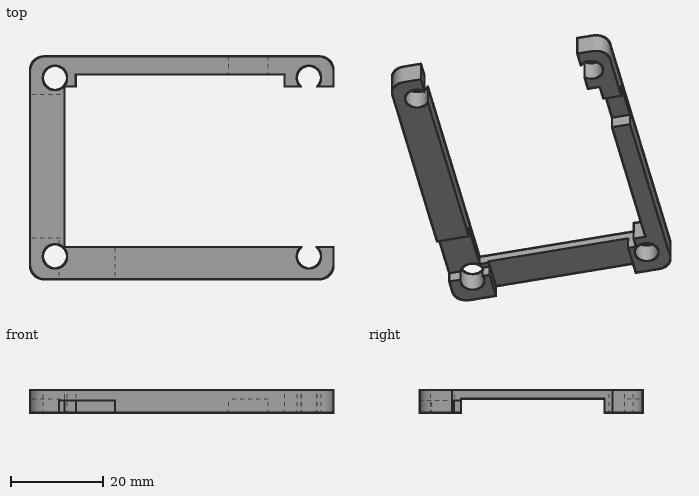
import cadquery as cq

LENGTH = 65.81
WIDTH = 48.34
HEIGHT = 5.0
CORNER_RADIUS = 3.175

LEFT_BAR = 7.55
FRONT_RAIL = 7.05
REAR_RAIL = 4.0
REAR_TAB = 6.6

REAR_LEFT_TAB_END = 9.95
REAR_RIGHT_TAB_START = 55.15

HOLE_DIAMETER = 5.2
HOLE_X = (5.45, 60.45)
HOLE_Y = (5.0, 43.65)

FRONT_NOTCH_X = (6.35, 18.45)
FRONT_NOTCH_HEIGHT = 2.65
LEFT_NOTCH_Y = (9.0, 40.0)
LEFT_NOTCH_HEIGHT = 3.05
REAR_NOTCH_X = (43.0, 51.6)
REAR_NOTCH_HEIGHT = 3.05


def box_between(x_range, y_range, height):
    """Box over the given X and Y ranges, rising from the underside."""
    x_min, x_max = x_range
    y_min, y_max = y_range
    box = cq.Workplane("XY").box(x_max - x_min, y_max - y_min, height, centered=False)
    return box.translate((x_min, y_min, 0))


def rounded_block():
    block = box_between((0, LENGTH), (0, WIDTH), HEIGHT)
    return block.edges("|Z").fillet(CORNER_RADIUS)


def inner_opening():
    """Main opening, plus the deeper recess between the two rear tabs."""
    main = box_between((LEFT_BAR, LENGTH), (FRONT_RAIL, WIDTH - REAR_TAB), HEIGHT)
    recess = box_between(
        (REAR_LEFT_TAB_END, REAR_RIGHT_TAB_START),
        (FRONT_RAIL, WIDTH - REAR_RAIL),
        HEIGHT,
    )
    return main.union(recess)


def screw_holes():
    centers = [(x, y) for x in HOLE_X for y in HOLE_Y]
    return cq.Workplane("XY").pushPoints(centers).circle(HOLE_DIAMETER / 2).extrude(HEIGHT)


def underside_notches():
    """One notch across each of the three bars; the front one runs into the left one."""
    front = box_between(FRONT_NOTCH_X, (0, LEFT_NOTCH_Y[0]), FRONT_NOTCH_HEIGHT)
    left = box_between((0, LEFT_BAR), LEFT_NOTCH_Y, LEFT_NOTCH_HEIGHT)
    rear = box_between(REAR_NOTCH_X, (WIDTH - REAR_RAIL, WIDTH), REAR_NOTCH_HEIGHT)
    return front.union(left).union(rear)


result = rounded_block().cut(inner_opening()).cut(screw_holes()).cut(underside_notches())